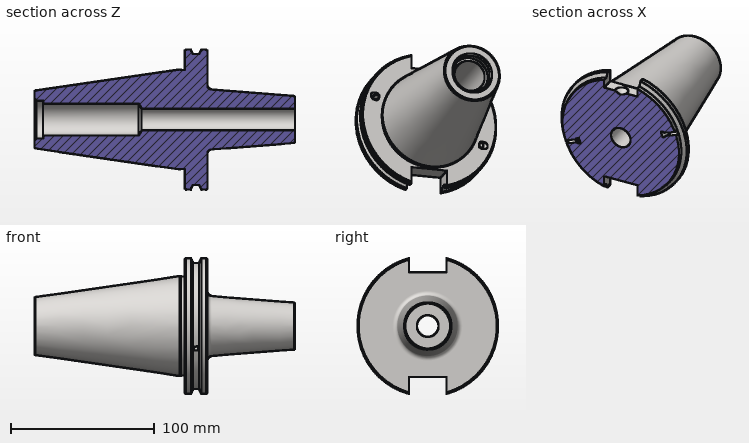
import cadquery as cq
import math

length = 181.6

taper_ratio = 7 / 24
taper_end_x = 101.2
taper_large_radius = 70.0 / 2
taper_small_radius = taper_large_radius - taper_end_x * taper_ratio / 2
taper_chamfer = 0.7
relief_radius = 69.2 / 2
relief_start_x = 102.2

flange_start_x = 104.6
flange_width = 16.0
flange_end_x = flange_start_x + flange_width
flange_mid_x = flange_start_x + flange_width / 2
flange_radius = 98.0 / 2
flange_chamfer = 0.9
groove_depth = 3.3
groove_mouth_width = 7.3
groove_floor_width = 4.0

nose_base_radius = 42.0 / 2
nose_tip_radius = 33.0 / 2
nose_start_x = 123.9
nose_fillet = nose_start_x - flange_end_x
nose_chamfer = 0.9

mouth_radius = 28.9 / 2
socket_radius = 26.2 / 2
socket_depth = 6.2
bore_radius = 22.0 / 2
bore_depth = 72.6
through_radius = 14.9 / 2
drill_tip_angle = 118.0

slot_width = 25.8
upper_slot_floor_z = 37.6
lower_slot_floor_z = -35.6
dimple_diameter = 9.5

coolant_plane_angle = 20.0
coolant_tilt = 38.0
coolant_entry_radius = 41.8
coolant_mouth_diameter = 5.0
coolant_mouth_depth = 1.8
coolant_diameter = 4.2
coolant_depth = 11.8
screw_hole_diameter = 3.3
screw_hole_depth = 10.0


def cone_height(radius):
    """Height of a drill point of the given radius."""
    return radius / math.tan(math.radians(drill_tip_angle / 2))


def drill(diameter, depth, start, direction):
    """Round cutter running from start along direction."""
    return cq.Workplane(
        cq.Solid.makeCylinder(diameter / 2, depth, cq.Vector(*start), cq.Vector(*direction))
    )


def drill_point(diameter, start, direction):
    """Conical cutter narrowing from start along direction."""
    radius = diameter / 2
    return cq.Workplane(
        cq.Solid.makeCone(radius, 0, cone_height(radius), cq.Vector(*start), cq.Vector(*direction))
    )


def outer_body():
    """Taper, flange and nose revolved about X."""
    floor_radius = flange_radius - groove_depth
    mouth_half = groove_mouth_width / 2
    floor_half = groove_floor_width / 2
    fillet_top = nose_base_radius + nose_fillet
    arc_offset = nose_fillet * math.sqrt(0.5)
    arc_mid = (nose_start_x - arc_offset, fillet_top - arc_offset)
    profile = (
        cq.Workplane("XY")
        .moveTo(0, 0)
        .lineTo(0, taper_small_radius - taper_chamfer)
        .lineTo(taper_chamfer, taper_small_radius + taper_chamfer * taper_ratio / 2)
        .lineTo(taper_end_x, taper_large_radius)
        .lineTo(relief_start_x, relief_radius)
        .lineTo(flange_start_x, relief_radius)
        .lineTo(flange_start_x, flange_radius - flange_chamfer)
        .lineTo(flange_start_x + flange_chamfer, flange_radius)
        .lineTo(flange_mid_x - mouth_half, flange_radius)
        .lineTo(flange_mid_x - floor_half, floor_radius)
        .lineTo(flange_mid_x + floor_half, floor_radius)
        .lineTo(flange_mid_x + mouth_half, flange_radius)
        .lineTo(flange_end_x - flange_chamfer, flange_radius)
        .lineTo(flange_end_x, flange_radius - flange_chamfer)
        .lineTo(flange_end_x, fillet_top)
        .threePointArc(arc_mid, (nose_start_x, nose_base_radius))
        .lineTo(length - nose_chamfer, nose_tip_radius)
        .lineTo(length, nose_tip_radius - nose_chamfer)
        .lineTo(length, 0)
        .close()
    )
    return profile.revolve(360, (0, 0, 0), (1, 0, 0))


def central_bore():
    """Chamfered socket, main bore with conical end, and through hole."""
    cone_end_x = bore_depth + cone_height(bore_radius) - cone_height(through_radius)
    profile = (
        cq.Workplane("XY")
        .moveTo(0, 0)
        .lineTo(0, mouth_radius)
        .lineTo(mouth_radius - socket_radius, socket_radius)
        .lineTo(socket_depth, socket_radius)
        .lineTo(socket_depth, bore_radius)
        .lineTo(bore_depth, bore_radius)
        .lineTo(cone_end_x, through_radius)
        .lineTo(length, through_radius)
        .lineTo(length, 0)
        .close()
    )
    return profile.revolve(360, (0, 0, 0), (1, 0, 0))


def drive_slot(floor_z, side):
    """Slot across the flange, open outward; side is +1 above and -1 below the axis."""
    slot_height = flange_radius
    return cq.Workplane("XY").box(flange_width, slot_width, slot_height).translate(
        (flange_mid_x, 0, floor_z + side * slot_height / 2)
    )


def coolant_holes(plane_angle):
    """Inclined coolant passage meeting a radial screw hole in the groove."""
    out_y = math.cos(math.radians(plane_angle))
    out_z = math.sin(math.radians(plane_angle))
    along = math.cos(math.radians(coolant_tilt))
    inward = math.sin(math.radians(coolant_tilt))
    direction = (along, -inward * out_y, -inward * out_z)

    lead = coolant_mouth_diameter
    start_radius = coolant_entry_radius + lead * inward
    start = (flange_start_x - lead * along, start_radius * out_y, start_radius * out_z)
    mouth = drill(coolant_mouth_diameter, lead + coolant_mouth_depth, start, direction)
    passage = drill(coolant_diameter, lead + coolant_depth, start, direction)

    screw_start = (flange_mid_x, flange_radius * out_y, flange_radius * out_z)
    screw_length = groove_depth + screw_hole_depth
    screw = drill(screw_hole_diameter, screw_length, screw_start, (0, -out_y, -out_z))
    return mouth.union(passage).union(screw)


result = outer_body().cut(central_bore())
result = result.cut(drive_slot(upper_slot_floor_z, 1)).cut(drive_slot(lower_slot_floor_z, -1))
result = result.cut(
    drill_point(dimple_diameter, (flange_mid_x, 0, upper_slot_floor_z), (0, 0, -1))
)
for half_turn in (0, 180):
    result = result.cut(coolant_holes(coolant_plane_angle + half_turn))